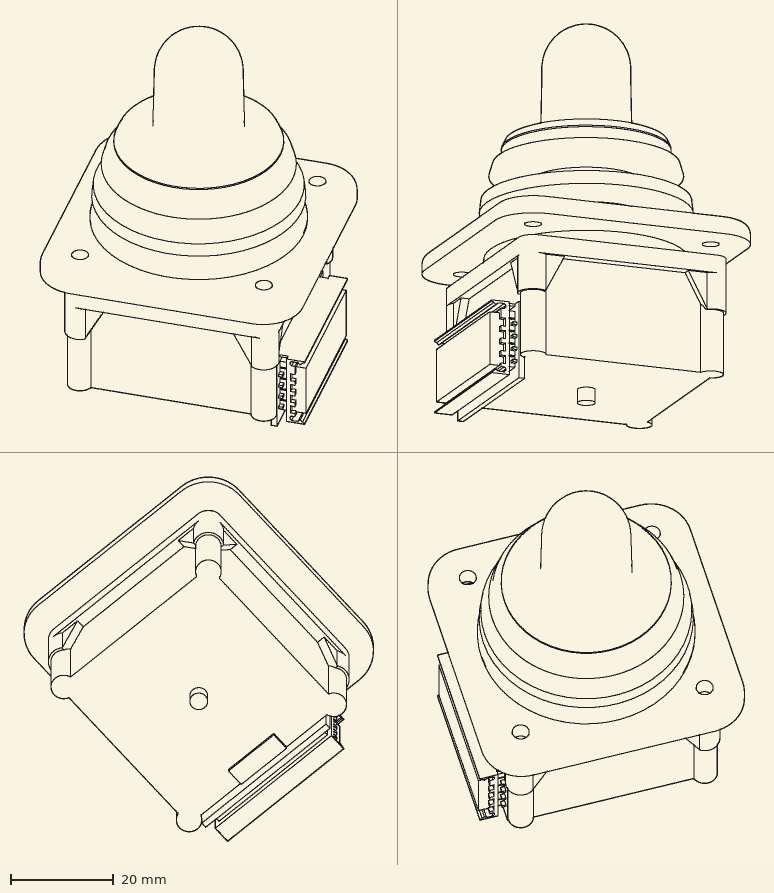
import cadquery as cq
import math


flange_size = 53.0
flange_thickness = 4.0
flange_corner_radius = 8.0
flange_edge_radius = 2.0
screw_spacing = 37.35
screw_hole_diameter = 3.3

base_rim = (21.25, 4.7)
low_neck_bottom = (13.2, 6.2)
low_neck_middle = (13.05, 7.0)
low_neck_top = (13.4, 7.8)
wide_fold_bottom = (20.9, 9.3)
wide_fold_top = (20.6, 12.0)
mid_neck_bottom = (11.4, 13.5)
mid_neck_middle = (11.1, 14.4)
mid_neck_top = (11.4, 15.4)
middle_fold_bottom = (19.1, 16.7)
middle_fold_top = (18.3, 19.4)
high_neck_bottom = (12.9, 20.4)
high_neck_middle = (12.45, 21.0)
high_neck_top = (12.9, 21.6)
top_fold_bottom = (16.6, 22.1)
top_fold_edge = (16.6, 22.4)
top_fold_top = (15.9, 23.9)
knob_root_outer = (9.8, 24.9)
knob_root_middle = (9.2, 25.25)
knob_root_top = (8.95, 25.9)
dome_base = (8.7, 39.2)
knob_top_z = 47.55
rim_radius = 0.25

neck_ring_diameter = 40.0
neck_ring_height = 3.0
post_diameter = 5.0
sleeve_diameter = 6.0
sleeve_bottom_z = -14.0
collar_height = 3.6
housing_bottom_z = -26.5
core_size = 38.8
bottom_pin_diameter = 3.5
bottom_pin_length = 2.7

gusset_size = 42.2
gusset_inner = 13.0
gusset_outer = 17.0

board_width = 32.1
board_thickness = 1.2
board_bottom_z = -30.75
board_top_z = -15.2
foot_width = 11.7
foot_inner_x = 15.6
foot_thickness = 0.7

contact_pitch = 2.54
contact_count = 4
first_contact_z = -19.4
connector_length = 30.0
shroud_length = 28.0
connector_bottom_z = -30.0
wall_inner_x = 22.2
recess_floor_x = 23.0
tooth_tip_x = 23.9
connector_outer_x = 25.9
recess_width = 1.6
latch_thickness = 0.45
latch_slot_height = 1.0
latch_slot_floor_x = 22.9
latch_slot_chamfer = 0.35
latch_hook_height = 0.45
latch_hook_x = 25.0
shroud_top_z = -17.35
shroud_bottom_z = -28.05
base_top_z = -16.7
groove_width = 0.25
groove_depth = 0.4
groove_offset = 1.2
lead_length = 0.8
lead_thickness = 0.5

screw_offset = screw_spacing / 2
collar_size = screw_spacing + sleeve_diameter
collar_top_z = -neck_ring_height
collar_bottom_z = collar_top_z - collar_height
board_inner_x = core_size / 2
board_outer_x = board_inner_x + board_thickness
dome_height = knob_top_z - dome_base[1]
dome_radius = (dome_base[0] ** 2 + dome_height**2) / (2 * dome_height)
dome_center_z = knob_top_z - dome_radius
dome_middle = (dome_radius * math.sin(math.pi / 4), dome_center_z + dome_radius * math.cos(math.pi / 4))
contact_levels = [first_contact_z - i * contact_pitch for i in range(contact_count)]


def box(x_range, y_range, z_range):
    """Axis-aligned block between the given limits."""
    sizes = [high - low for low, high in (x_range, y_range, z_range)]
    corner = (x_range[0], y_range[0], z_range[0])
    return cq.Workplane("XY").box(*sizes, centered=False).translate(corner)


def make_boot():
    """Round knob and bellows, turned about the joystick axis."""
    profile = (
        cq.Workplane("XZ")
        .moveTo(0, flange_thickness)
        .lineTo(base_rim[0], flange_thickness)
        .lineTo(*base_rim)
        .lineTo(*low_neck_bottom)
        .threePointArc(low_neck_middle, low_neck_top)
        .lineTo(*wide_fold_bottom)
        .lineTo(*wide_fold_top)
        .lineTo(*mid_neck_bottom)
        .threePointArc(mid_neck_middle, mid_neck_top)
        .lineTo(*middle_fold_bottom)
        .lineTo(*middle_fold_top)
        .lineTo(*high_neck_bottom)
        .threePointArc(high_neck_middle, high_neck_top)
        .lineTo(*top_fold_bottom)
        .lineTo(*top_fold_edge)
        .lineTo(*top_fold_top)
        .lineTo(*knob_root_outer)
        .threePointArc(knob_root_middle, knob_root_top)
        .lineTo(*dome_base)
        .threePointArc(dome_middle, (0, knob_top_z))
        .close()
    )
    boot = profile.revolve(360, (0, 0, 0), (0, 1, 0))
    for rim in (base_rim, middle_fold_bottom, middle_fold_top, top_fold_top):
        boot = boot.edges(cq.NearestToPointSelector((0, 0, rim[1]))).fillet(rim_radius)
    return boot


def make_flange():
    """Rounded square plate with four screw holes."""
    return (
        cq.Workplane("XY")
        .rect(flange_size, flange_size)
        .extrude(flange_thickness)
        .edges("|Z")
        .fillet(flange_corner_radius)
        .faces(">Z")
        .edges()
        .fillet(flange_edge_radius)
        .faces(">Z")
        .workplane()
        .rect(screw_spacing, screw_spacing, forConstruction=True)
        .vertices()
        .hole(screw_hole_diameter)
    )


def make_corner_columns(diameter, bottom_z):
    """Four round columns on the screw axes, hanging from the collar top."""
    return (
        cq.Workplane("XY")
        .workplane(offset=bottom_z)
        .rect(screw_spacing, screw_spacing, forConstruction=True)
        .vertices()
        .circle(diameter / 2)
        .extrude(collar_top_z - bottom_z)
    )


def make_cross(size, bottom_z, top_z):
    """Square prism of the given size with its corners left out around the screw axes."""
    levels = (bottom_z, top_z)
    full = (-size / 2, size / 2)
    between_screws = (-screw_offset, screw_offset)
    return box(full, between_screws, levels).union(box(between_screws, full, levels))


def make_brackets():
    """Sleeves and gussets at the four corners, cut back to slanted lower edges."""
    brackets = make_cross(gusset_size, sleeve_bottom_z, collar_bottom_z)
    brackets = brackets.union(make_corner_columns(sleeve_diameter, sleeve_bottom_z))
    opening = (
        cq.Workplane("XZ", origin=(0, -core_size / 2, 0))
        .moveTo(-gusset_inner, collar_bottom_z)
        .lineTo(gusset_inner, collar_bottom_z)
        .lineTo(gusset_outer, sleeve_bottom_z)
        .lineTo(-gusset_outer, sleeve_bottom_z)
        .close()
        .extrude((collar_size - core_size) / 2)
    )
    for side in range(4):
        brackets = brackets.cut(opening.rotate((0, 0, 0), (0, 0, 1), 90 * side))
    return brackets


def make_housing():
    """Box with neck ring, collar, corner posts, brackets and bottom pin."""
    ring = (
        cq.Workplane("XY")
        .workplane(offset=collar_top_z)
        .circle(neck_ring_diameter / 2)
        .extrude(neck_ring_height)
    )
    core = (
        cq.Workplane("XY")
        .workplane(offset=housing_bottom_z)
        .rect(core_size, core_size)
        .extrude(collar_bottom_z - housing_bottom_z)
    )
    pin = (
        cq.Workplane("XY")
        .workplane(offset=housing_bottom_z - bottom_pin_length)
        .circle(bottom_pin_diameter / 2)
        .extrude(bottom_pin_length)
    )
    collar = make_cross(collar_size, collar_bottom_z, collar_top_z)
    posts = make_corner_columns(post_diameter, housing_bottom_z)
    return make_brackets().union(collar).union(ring).union(core).union(posts).union(pin)


def make_board():
    """Upright board on the +X side with a foot under the housing."""
    half_width = board_width / 2
    half_foot = foot_width / 2
    board = box((board_inner_x, board_outer_x), (-half_width, half_width), (board_bottom_z, board_top_z))
    foot_levels = (housing_bottom_z - foot_thickness, housing_bottom_z)
    foot = box((foot_inner_x, board_inner_x), (-half_foot, half_foot), foot_levels)
    return board.union(foot)


def make_latch(root_z, inward):
    """Hooked latch arm; inward is the Z direction from the arm to the shroud."""
    inner_z = root_z + inward * latch_thickness
    return (
        cq.Workplane("XZ", origin=(0, connector_length / 2, 0))
        .moveTo(wall_inner_x, root_z)
        .lineTo(connector_outer_x, root_z)
        .lineTo(connector_outer_x, (root_z + inner_z) / 2)
        .lineTo(latch_hook_x + latch_hook_height, inner_z)
        .lineTo(latch_hook_x, inner_z + inward * latch_hook_height)
        .lineTo(latch_hook_x - latch_hook_height, inner_z)
        .lineTo(wall_inner_x, inner_z)
        .close()
        .extrude(connector_length)
    )


def make_frame(y_range):
    """Wall with a row of teeth towards +X and a slot beside each latch."""
    frame = box((wall_inner_x, tooth_tip_x), y_range, (connector_bottom_z, board_top_z))
    top_slot_z = board_top_z - latch_thickness - latch_slot_height / 2
    bottom_slot_z = connector_bottom_z + latch_thickness + latch_slot_height / 2
    for slot_z in (top_slot_z, bottom_slot_z):
        slot_levels = (slot_z - latch_slot_height / 2, slot_z + latch_slot_height / 2)
        slot = box((latch_slot_floor_x, tooth_tip_x), y_range, slot_levels)
        frame = frame.cut(slot.faces("<X").edges("|Y").chamfer(latch_slot_chamfer))
    for level in contact_levels:
        recess_levels = (level - recess_width / 2, level + recess_width / 2)
        frame = frame.cut(box((recess_floor_x, tooth_tip_x), y_range, recess_levels))
    return frame


def make_base(y_range):
    """Block between board and frame, with a groove beside each contact at both ends."""
    base_x = (board_outer_x, wall_inner_x)
    base = box(base_x, y_range, (shroud_bottom_z, base_top_z))
    for level in contact_levels:
        groove_z = level + groove_offset
        groove_levels = (groove_z - groove_width / 2, groove_z + groove_width / 2)
        for end_y in y_range:
            groove_y = (end_y - groove_depth, end_y + groove_depth)
            base = base.cut(box(base_x, groove_y, groove_levels))
    top_rib = box(base_x, y_range, (board_top_z - latch_thickness, board_top_z))
    return base.union(top_rib)


def make_leads(y_range):
    """Flat leads along the board, one for each contact."""
    lead_x = (board_outer_x, board_outer_x + lead_length)
    leads = cq.Workplane("XY")
    for level in contact_levels:
        lead_levels = (level - lead_thickness / 2, level + lead_thickness / 2)
        leads = leads.add(box(lead_x, y_range, lead_levels))
    return leads.combine()


def make_connector():
    """Header with toothed frame, shroud, two latches, grooved base and leads."""
    frame_y = (-connector_length / 2, connector_length / 2)
    shroud_y = (-shroud_length / 2, shroud_length / 2)
    shroud = box((wall_inner_x, connector_outer_x), shroud_y, (shroud_bottom_z, shroud_top_z))
    connector = make_frame(frame_y).union(shroud).union(make_base(shroud_y))
    connector = connector.union(make_leads(frame_y))
    connector = connector.union(make_latch(board_top_z, -1))
    return connector.union(make_latch(connector_bottom_z, 1))


joystick = make_housing().union(make_flange()).union(make_boot())
connector_board = make_board().union(make_connector())

result = cq.Compound.makeCompound([joystick.val(), connector_board.val()])